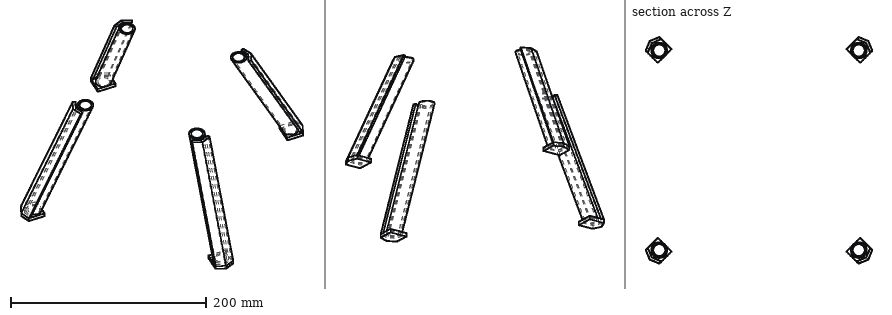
import cadquery as cq
import math

span = 232.5
height = 128.0
lean = 58.3
leg_angles = [45, 135, 225, 315]

leg_width = 20.0
foot_thickness = 4.0
foot_length = 17.7
bend_angle = 22.5

shield_thickness = 3.0
tube_radius = 8.1
bore_radius = 6.0
tube_inset = 9.8

half_width = leg_width / 2
corner_distance = span / math.sqrt(2) - half_width
point_distance = corner_distance + half_width * math.tan(math.radians(bend_angle))
tube_distance = corner_distance - tube_inset
foot_inner_distance = corner_distance - foot_length

leg_path = cq.Vector(-lean, 0, height - foot_thickness)


def sloped(profile):
    """Sweep a horizontal profile along the sloping axis of the leg."""
    return cq.Solid.extrudeLinear(profile, [], leg_path)


def make_foot():
    """Flat plate with a pointed outer side."""
    return (
        cq.Workplane("XY")
        .moveTo(foot_inner_distance, -half_width)
        .lineTo(corner_distance, -half_width)
        .lineTo(point_distance, 0)
        .lineTo(corner_distance, half_width)
        .lineTo(foot_inner_distance, half_width)
        .close()
        .extrude(foot_thickness)
    )


def make_shield():
    """V-shaped wall of constant thickness, with ends square to its faces."""
    bend = math.radians(bend_angle)
    inner_corner_distance = corner_distance - shield_thickness * math.cos(bend)
    inner_half_width = half_width - shield_thickness * math.sin(bend)
    inner_point_distance = point_distance - shield_thickness / math.cos(bend)
    profile = (
        cq.Workplane("XY", origin=(0, 0, foot_thickness))
        .moveTo(corner_distance, -half_width)
        .lineTo(point_distance, 0)
        .lineTo(corner_distance, half_width)
        .lineTo(inner_corner_distance, inner_half_width)
        .lineTo(inner_point_distance, 0)
        .lineTo(inner_corner_distance, -inner_half_width)
        .close()
    )
    return sloped(profile.val())


def tube_profile(radius):
    """Circle around the tube centre, made of an inner and an outer half."""
    profile = (
        cq.Workplane("XY", origin=(tube_distance, 0, foot_thickness))
        .moveTo(0, -radius)
        .threePointArc((radius, 0), (0, radius))
        .threePointArc((-radius, 0), (0, -radius))
        .close()
    )
    return profile.val()


def make_tube():
    """Sloping tube, open at the top and closed by the foot below."""
    return sloped(tube_profile(tube_radius)).cut(sloped(tube_profile(bore_radius)))


def make_leg(angle):
    """Foot, shield and tube as one solid, turned to its diagonal."""
    leg = make_foot().union(make_shield()).union(make_tube())
    return leg.rotate((0, 0, 0), (0, 0, 1), angle)


legs = [make_leg(angle) for angle in leg_angles]

result = cq.Compound.makeCompound([leg.val() for leg in legs])